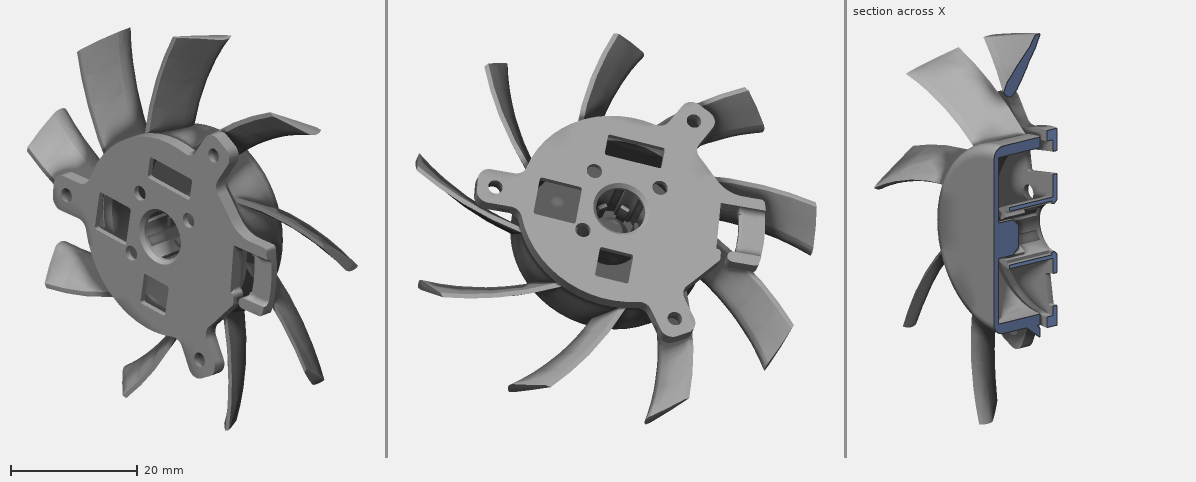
import cadquery as cq
import math


PLATE_THICKNESS = 2.2
PLATE_RADIUS = 16.45
PLATE_SHEET = 1.0
PLATE_RECESS_RADIUS = 14.6
PLATE_TILT = 5
EAR_ANGLES = (60, 180, 300)
EAR_HOLE_CIRCLE = 20.5
EAR_LENGTH = 23.4
EAR_HALF_WIDTH = 3.0
EAR_CORNER = 1.95
EAR_HOLE_RADIUS = 1.2
EAR_FILLET = 1.95
SMALL_HOLE_ANGLES = (40, 130, 220)
SMALL_HOLE_CIRCLE = 7.6
SMALL_HOLE_RADIUS = 1.25

WINDOW_TILT = 9.6
WINDOW_CORNER = 0.4
WINDOWS = (
    (0.4, 10.6, 9.3, 3.7),
    (-10.25, -1.3, 6.9, 6.65),
    (0.5, -10.2, 5.5, 5.3),
)

HOOK_RADIUS = 23.5
HOOK_CORNER = 0.65
HOOK_STRIP_INNER_RADIUS = 19.4
HOOK_STRIP_CHAMFER = 0.4
HOOK_OPENING_START = 15.8
HOOK_ARM_INSIDE = 4.1
HOOK_ARM_WIDTH = 1.8
HOOK_ROOT_ANGLE = 41
HOOK_ROOT_FILLET = 5.9
HOOK_OPENING_CORNER = 0.6
HOOK_GAP_START = 16.6
HOOK_GAP_END = 17.7
HOOK_NUB_ROUNDING = 0.8
HOOK_RECESS_DEPTH = 1.0
HOOK_RECESS_FILLET = 0.9

TUBE_RADIUS = 5.15
TUBE_END = 9.8
BORE_RADIUS = 4.0
BORE_MOUTH_RADIUS = 4.55
BORE_FEATURE_COUNT = 6
GROOVE_WIDTH = 1.7
GROOVE_FLOOR_RADIUS = 4.45
GROOVE_START = 1.2
RIB_WIDTH = 1.45
RIB_INNER_RADIUS = 3.3
RIB_START = 5.9

ROTOR_GAP = 1.3
HUB_LENGTH = 9.45
HUB_RADIUS = 15.65
HUB_INNER_RADIUS = 13.8
HUB_ROUNDING = 1.95
HUB_FLOOR = 1.0
SHAFT_RADIUS = 3.0
SHAFT_TIP_RADIUS = 1.8
SHAFT_START = 7.8

BLADE_COUNT = 9
BLADE_TIP_RADIUS = 32.8
BLADE_DEPTH = HUB_LENGTH - HUB_ROUNDING
BLADE_ROOT_RADIUS = (HUB_RADIUS + HUB_INNER_RADIUS) / 2
BLADE_SECTION_HEIGHTS = (12.4, 17.6, 22.8, 28.05, 33.25)
BLADE_FRONT_WIDTH = 0.85
NOSE_START = 4.7
NOSE_ROLL = 0.5
NOSE_FLAT_LENGTH = 0.85
NOSE_FLAT_DEPTH = 0.8
FRONT_EDGE_POINTS = ((-6.6, 15.3), (-5.0, 22.2), (-0.5, 32.8))
NOSE_CREST_POINTS = ((-2.15, 16.4), (0.2, 23.35), (5.75, 32.5))

ROTOR_FRONT = PLATE_THICKNESS + ROTOR_GAP
ROTOR_BACK = ROTOR_FRONT + HUB_LENGTH


def front_plane(depth=0):
    """Workplane facing the front at a given depth; extruding by a negative length goes back."""
    return cq.Workplane("XZ", origin=(0, depth, 0))


def polar(radius, degrees):
    angle = math.radians(degrees)
    return radius * math.cos(angle), radius * math.sin(angle)


def turned(shape, degrees):
    """Turn a shape clockwise about the rotor axis, seen from the front."""
    return shape.rotate((0, 0, 0), (0, 1, 0), degrees)


def disc(radius, depth, length):
    return front_plane(depth).circle(radius).extrude(-length)


def bar(x_start, x_end, z_start, z_end, depth, length):
    return (
        front_plane(depth)
        .center((x_start + x_end) / 2, (z_start + z_end) / 2)
        .rect(x_end - x_start, z_end - z_start)
        .extrude(-length)
    )




def plate_with_ears():
    plate = disc(PLATE_RADIUS, 0, PLATE_THICKNESS)
    for angle in EAR_ANGLES:
        ear = bar(0, EAR_LENGTH, -EAR_HALF_WIDTH, EAR_HALF_WIDTH, 0, PLATE_THICKNESS)
        ear = ear.edges("|Y and >X").fillet(EAR_CORNER)
        plate = plate.union(turned(ear, -angle))
    corner_zone = cq.selectors.BoxSelector(
        (-PLATE_RADIUS, 0, -PLATE_RADIUS), (PLATE_RADIUS, PLATE_THICKNESS, PLATE_RADIUS)
    )
    inner_corners = plate.edges("|Y").edges(corner_zone)
    return inner_corners.fillet(EAR_FILLET)


def hook_outline():
    arm_outside = HOOK_ARM_INSIDE + HOOK_ARM_WIDTH
    root_x, root_z = polar(PLATE_RADIUS, HOOK_ROOT_ANGLE)
    root_corner_x = root_x + (root_z - arm_outside) * math.tan(math.radians(HOOK_ROOT_ANGLE))
    end_x = math.sqrt(HOOK_RADIUS**2 - arm_outside**2)
    outline = (
        front_plane()
        .moveTo(0, 0)
        .lineTo(root_x, root_z)
        .lineTo(root_corner_x, arm_outside)
        .lineTo(end_x, arm_outside)
        .threePointArc((HOOK_RADIUS, 0), (end_x, -arm_outside))
        .lineTo(root_corner_x, -arm_outside)
        .lineTo(root_x, -root_z)
        .close()
        .extrude(-PLATE_THICKNESS)
    )
    upper_root = cq.selectors.NearestToPointSelector((root_corner_x, PLATE_THICKNESS / 2, arm_outside))
    outline = outline.edges("|Y").edges(upper_root).fillet(HOOK_ROOT_FILLET)
    return outline.edges("|Y").edges(">X").fillet(HOOK_CORNER)


def hook_window():
    """Opening between the plate and the hook's strip."""
    window = bar(
        HOOK_OPENING_START, HOOK_RADIUS, -HOOK_ARM_INSIDE, HOOK_ARM_INSIDE, 0, PLATE_THICKNESS
    ).intersect(disc(HOOK_STRIP_INNER_RADIUS, 0, PLATE_THICKNESS))
    return window.edges("|Y").edges("<X").fillet(HOOK_OPENING_CORNER)


def hook_gap():
    """Gap that frees the hook's lower end, which is rounded."""
    half_arm = HOOK_ARM_WIDTH / 2
    round_x = HOOK_GAP_END + half_arm
    gap = bar(HOOK_GAP_START, round_x, -PLATE_RADIUS, 0, 0, PLATE_THICKNESS)
    rounded_end = front_plane().center(round_x, -HOOK_ARM_INSIDE - half_arm).circle(half_arm)
    return gap.cut(rounded_end.extrude(-PLATE_THICKNESS))


def hook_strip_chamfer():
    """Bevel along the inner front edge of the strip, between the two arms."""
    bevel = cq.Workplane().add(
        cq.Solid.makeCone(
            HOOK_STRIP_INNER_RADIUS + HOOK_STRIP_CHAMFER,
            HOOK_STRIP_INNER_RADIUS,
            HOOK_STRIP_CHAMFER,
            cq.Vector(0, HOOK_RECESS_DEPTH, 0),
            cq.Vector(0, 1, 0),
        )
    )
    half_height = HOOK_ARM_INSIDE - HOOK_RECESS_FILLET
    return bevel.intersect(
        bar(HOOK_GAP_END, HOOK_RADIUS, -half_height, half_height, 0, PLATE_THICKNESS)
    )


def hook_recess():
    """Shallow pocket across the strip, with rounded ends beside the two arms."""
    recess = bar(
        HOOK_OPENING_START, HOOK_RADIUS, -HOOK_ARM_INSIDE, HOOK_ARM_INSIDE, 0, HOOK_RECESS_DEPTH
    )
    return recess.edges("|X and >Y").fillet(HOOK_RECESS_FILLET)


def make_hook():
    hook = hook_outline().cut(hook_window()).cut(hook_gap())
    nub_corner = cq.selectors.NearestToPointSelector(
        (HOOK_GAP_START, PLATE_THICKNESS / 2, -HOOK_ARM_INSIDE)
    )
    hook = hook.edges("|Y").edges(nub_corner).fillet(HOOK_NUB_ROUNDING)
    return hook.cut(hook_recess()).cut(hook_strip_chamfer())


def plate_windows():
    windows = cq.Workplane()
    for x, z, width, height in WINDOWS:
        window = front_plane().center(x, z).rect(width, height).extrude(-PLATE_THICKNESS)
        windows = windows.add(turned(window.edges("|Y").fillet(WINDOW_CORNER), WINDOW_TILT))
    return windows.combine()


def plate_holes():
    ear_holes = [polar(EAR_HOLE_CIRCLE, angle) for angle in EAR_ANGLES]
    small_holes = [polar(SMALL_HOLE_CIRCLE, angle) for angle in SMALL_HOLE_ANGLES]
    holes = front_plane().pushPoints(ear_holes).circle(EAR_HOLE_RADIUS).extrude(-PLATE_THICKNESS)
    return holes.union(
        front_plane().pushPoints(small_holes).circle(SMALL_HOLE_RADIUS).extrude(-PLATE_THICKNESS)
    )


def ribbed_bore():
    mouth_depth = BORE_MOUTH_RADIUS - BORE_RADIUS
    bore = disc(BORE_RADIUS, 0, TUBE_END)
    pitch = 360 / BORE_FEATURE_COUNT
    rib = bar(
        RIB_INNER_RADIUS, BORE_MOUTH_RADIUS, -RIB_WIDTH / 2, RIB_WIDTH / 2, RIB_START, TUBE_END - RIB_START
    )
    groove = bar(
        0, GROOVE_FLOOR_RADIUS, -GROOVE_WIDTH / 2, GROOVE_WIDTH / 2, GROOVE_START, TUBE_END - GROOVE_START
    )
    for index in range(BORE_FEATURE_COUNT):
        bore = bore.union(turned(groove, (index + 0.5) * pitch))
    for index in range(BORE_FEATURE_COUNT):
        bore = bore.cut(turned(rib, index * pitch))
    mouth = cq.Workplane().add(
        cq.Solid.makeCone(
            BORE_MOUTH_RADIUS, BORE_RADIUS, mouth_depth, cq.Vector(0, 0, 0), cq.Vector(0, 1, 0)
        )
    )
    return bore.union(mouth)


def hook_zone():
    """Edge strip of the round plate that the hook's opening cuts away."""
    return bar(
        HOOK_OPENING_START, PLATE_RADIUS, -HOOK_ARM_INSIDE, HOOK_ARM_INSIDE, 0, PLATE_THICKNESS
    )


def make_mount_plate():
    plate = plate_with_ears().cut(hook_zone())
    plate = turned(plate.union(make_hook()).cut(plate_holes()), PLATE_TILT)
    plate = plate.cut(plate_windows())
    plate = plate.cut(disc(PLATE_RECESS_RADIUS, PLATE_SHEET, PLATE_THICKNESS - PLATE_SHEET))
    tube = disc(TUBE_RADIUS, 0, TUBE_END)
    return plate.union(tube).cut(ribbed_bore())




def arc_x(points, z):
    """X of the arc through three (X, Z) points at height z, on the arc's left side."""
    (x1, z1), (x2, z2), (x3, z3) = points
    a = 2 * (x2 - x1)
    b = 2 * (z2 - z1)
    c = 2 * (x3 - x1)
    d = 2 * (z3 - z1)
    e = x2**2 + z2**2 - x1**2 - z1**2
    f = x3**2 + z3**2 - x1**2 - z1**2
    centre_x = (e * d - b * f) / (a * d - b * c)
    centre_z = (a * f - e * c) / (a * d - b * c)
    radius = math.hypot(x1 - centre_x, z1 - centre_z)
    return centre_x - math.sqrt(radius**2 - (z - centre_z) ** 2)


def blade_section(z):
    """Blade cross-section at height z: narrow flat front edge, thick rounded nose at the back."""
    front_x = arc_x(FRONT_EDGE_POINTS, z)
    crest_x = arc_x(NOSE_CREST_POINTS, z)
    nose_x = crest_x - NOSE_ROLL
    crest_depth = (NOSE_START + BLADE_DEPTH) / 2
    return (
        cq.Workplane("XY", origin=(0, ROTOR_FRONT, z))
        .moveTo(front_x, 0)
        .lineTo(front_x + BLADE_FRONT_WIDTH, 0)
        .lineTo(nose_x, NOSE_START)
        .threePointArc((crest_x, crest_depth), (nose_x, BLADE_DEPTH))
        .lineTo(nose_x - NOSE_FLAT_LENGTH, BLADE_DEPTH - NOSE_FLAT_DEPTH)
        .close()
        .val()
    )


def make_blade():
    blade = cq.Workplane().add(
        cq.Solid.makeLoft([blade_section(z) for z in BLADE_SECTION_HEIGHTS])
    )
    blade = blade.intersect(disc(BLADE_TIP_RADIUS, ROTOR_FRONT, BLADE_DEPTH))
    return blade.cut(disc(BLADE_ROOT_RADIUS, ROTOR_FRONT, BLADE_DEPTH))


def make_hub():
    hub = disc(HUB_RADIUS, ROTOR_FRONT, HUB_LENGTH).faces(">Y").edges().fillet(HUB_ROUNDING)
    hub = hub.cut(disc(HUB_INNER_RADIUS, ROTOR_FRONT, HUB_LENGTH - HUB_FLOOR))
    shaft = disc(SHAFT_RADIUS, SHAFT_START, ROTOR_BACK - HUB_FLOOR - SHAFT_START)
    shaft = shaft.faces("<Y").chamfer(SHAFT_RADIUS - SHAFT_TIP_RADIUS)
    return hub.union(shaft)


def make_rotor():
    rotor = make_hub()
    blade = make_blade()
    for index in range(BLADE_COUNT):
        rotor = rotor.union(turned(blade, index * 360 / BLADE_COUNT))
    return rotor


mount_plate = make_mount_plate()
rotor = make_rotor()

result = cq.Compound.makeCompound([mount_plate.val(), rotor.val()])